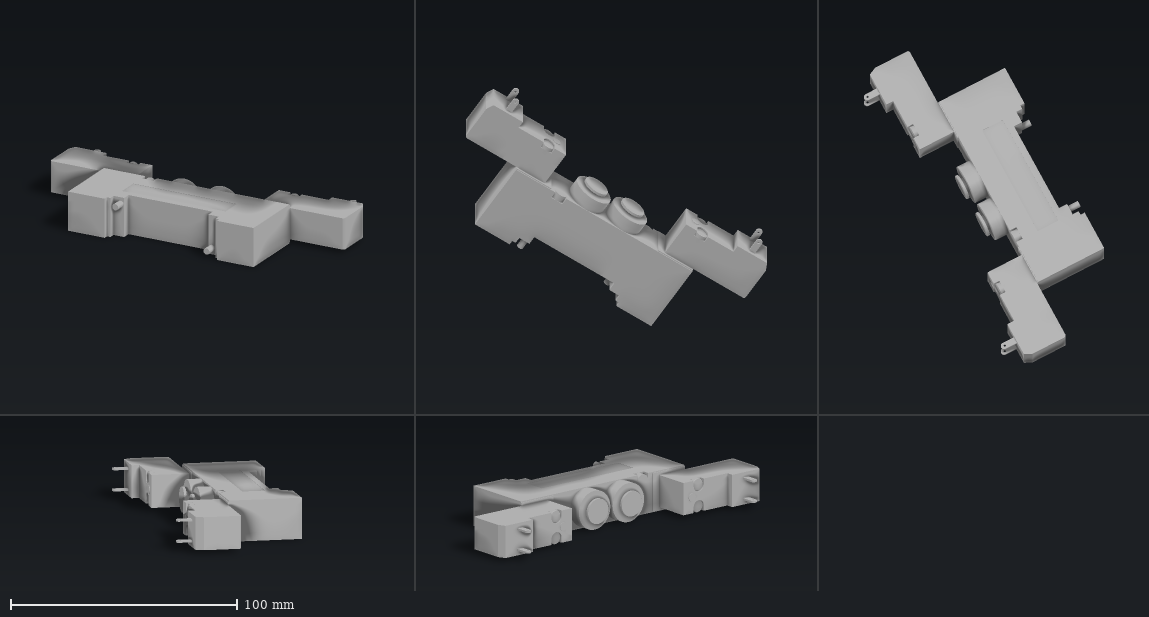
import cadquery as cq


BODY_LENGTH = 93.4
BODY_DEPTH = 33.0
BODY_WIDTH = 18.5
HALF_LENGTH = BODY_LENGTH / 2
HALF_WIDTH = BODY_WIDTH / 2

FOOT_STEPS = [(28.3, 2.1), (26.5, 5.0), (21.2, 9.0)]

LABEL_LENGTH = 52.2
LABEL_HEIGHT = 10.4
LABEL_CENTRE_Y = 17.2
LABEL_DEPTH = 0.1

SCREW_X = 23.0
SCREW_Z = 6.2
SCREW_SHANK_DIAMETER = 3.0
SCREW_HEAD_DIAMETER = 6.0
SCREW_HEAD_HEIGHT = 3.3

PLATE_INNER_X = FOOT_STEPS[0][0]
PLATE_LENGTH = HALF_LENGTH - PLATE_INNER_X
PLATE_WIDTH = 17.5
PLATE_HEIGHT = 0.5

PILOT_WIDTH = 14.8
PILOT_BASE_Y = BODY_DEPTH + PLATE_HEIGHT
PILOT_SHOULDER_Y = 50.5
PILOT_TOP_Y = 54.0
PILOT_INNER_X = 31.9
PILOT_STEP_X = 56.9
PILOT_BEVEL_X = 72.5
PILOT_END_X = 74.1
PILOT_CORNER_RADIUS = 1.0

BLADE_X = 64.5
BLADE_Z = 4.7
BLADE_WIDTH = 3.0
BLADE_THICKNESS = 0.9
BLADE_TIP_Y = 61.0
BLADE_HOLE_Y = 59.3
BLADE_HOLE_DIAMETER = 1.0

PILOT_SCREW_X = 40.6
PILOT_SCREW_Z = 4.9
PILOT_HEAD_DIAMETER = 5.8
PILOT_HEAD_HEIGHT = 2.1
PILOT_HEAD_CHAMFER = 0.22
PILOT_POCKET_DEPTH = 2.8

BUTTON_X = 36.8
BUTTON_DIAMETER = 3.9
BUTTON_HEIGHT = 0.3

FITTING_X = 9.6
FITTING_SECTIONS = [(18.0, 3.0), (18.0, 3.3), (7.0, 1.3), (11.5, 1.2)]


def y_cylinder(x, z, diameter, start_y, end_y):
    """Cylinder along Y between two Y positions."""
    plane = cq.Plane(origin=(x, start_y, z), xDir=(1, 0, 0), normal=(0, 1, 0))
    return cq.Workplane(plane).circle(diameter / 2).extrude(end_y - start_y)


def side_pocket(x, z, diameter, side, outer_z, start_y, end_y):
    """U-shaped screw pocket that runs out through the +Z (side = 1) or -Z (side = -1) face."""
    round_end = y_cylinder(x, side * z, diameter, start_y, end_y)
    opening = cq.Workplane("XY").box(diameter, end_y - start_y, outer_z - z).translate(
        (x, (start_y + end_y) / 2, side * (z + outer_z) / 2)
    )
    return round_end.union(opening)


def body_block():
    """Rectangular block with the stepped recess in its mounting side."""
    block = cq.Workplane("XY").box(BODY_LENGTH, BODY_DEPTH, BODY_WIDTH)
    block = block.translate((0, BODY_DEPTH / 2, 0))
    for half_length, depth in FOOT_STEPS:
        step = cq.Workplane("XY").box(2 * half_length, depth, BODY_WIDTH)
        block = block.cut(step.translate((0, depth / 2, 0)))
    return block


def mounting_screw_features(body, side):
    """Pocket, head and shank of one mounting screw; side = 1 is the screw at -X, +Z."""
    x = -side * SCREW_X
    z = side * SCREW_Z
    seat_y = BODY_DEPTH - SCREW_HEAD_HEIGHT
    pocket = side_pocket(x, SCREW_Z, SCREW_HEAD_DIAMETER, side, HALF_WIDTH, seat_y, BODY_DEPTH)
    head = y_cylinder(x, z, SCREW_HEAD_DIAMETER, seat_y, BODY_DEPTH)
    shank = y_cylinder(x, z, SCREW_SHANK_DIAMETER, 0, seat_y)
    return body.cut(pocket).union(head).union(shank)


def make_valve_body():
    body = body_block()
    label = cq.Workplane("XY").box(LABEL_LENGTH, LABEL_HEIGHT, LABEL_DEPTH)
    body = body.cut(label.translate((0, LABEL_CENTRE_Y, HALF_WIDTH - LABEL_DEPTH / 2)))
    for side in (-1, 1):
        body = mounting_screw_features(body, side)
    return body


def pilot_housing():
    """Stepped housing with a bevelled top corner and a rounded bottom corner."""
    outline = [
        (PILOT_INNER_X, PILOT_BASE_Y),
        (PILOT_END_X, PILOT_BASE_Y),
        (PILOT_END_X, PILOT_SHOULDER_Y),
        (PILOT_BEVEL_X, PILOT_TOP_Y),
        (PILOT_STEP_X, PILOT_TOP_Y),
        (PILOT_STEP_X, PILOT_SHOULDER_Y),
        (PILOT_INNER_X, PILOT_SHOULDER_Y),
    ]
    housing = cq.Workplane("XY").polyline(outline).close().extrude(PILOT_WIDTH / 2, both=True)
    return housing.edges("|Z and >X").edges("<Y").fillet(PILOT_CORNER_RADIUS)


def interface_plate():
    """Thin plate between the housing and the valve body, ending flush with the body."""
    plate = cq.Workplane("XY").box(PLATE_LENGTH, PLATE_HEIGHT, PLATE_WIDTH)
    return plate.translate((PLATE_INNER_X + PLATE_LENGTH / 2, BODY_DEPTH + PLATE_HEIGHT / 2, 0))


def contact_blade(z):
    """Flat blade with a full-round tip and a small hole near the tip."""
    radius = BLADE_WIDTH / 2
    tip_centre_y = BLADE_TIP_Y - radius
    return (
        cq.Workplane("XY", origin=(0, 0, z))
        .moveTo(BLADE_X - radius, PILOT_TOP_Y)
        .lineTo(BLADE_X + radius, PILOT_TOP_Y)
        .lineTo(BLADE_X + radius, tip_centre_y)
        .threePointArc((BLADE_X, BLADE_TIP_Y), (BLADE_X - radius, tip_centre_y))
        .close()
        .moveTo(BLADE_X, BLADE_HOLE_Y)
        .circle(BLADE_HOLE_DIAMETER / 2)
        .extrude(BLADE_THICKNESS / 2, both=True)
    )


def make_pilot():
    """Pilot valve on the +X end of the body."""
    pilot = pilot_housing().union(interface_plate())
    seat_y = PILOT_SHOULDER_Y - PILOT_POCKET_DEPTH
    for side in (-1, 1):
        pocket = side_pocket(
            PILOT_SCREW_X, PILOT_SCREW_Z, PILOT_HEAD_DIAMETER, side,
            PILOT_WIDTH / 2, seat_y, PILOT_SHOULDER_Y,
        )
        head = y_cylinder(
            PILOT_SCREW_X, side * PILOT_SCREW_Z, PILOT_HEAD_DIAMETER,
            seat_y, seat_y + PILOT_HEAD_HEIGHT,
        )
        head = head.faces(">Y").chamfer(PILOT_HEAD_CHAMFER)
        pilot = pilot.cut(pocket).union(head)
        pilot = pilot.union(contact_blade(side * BLADE_Z))
    button = y_cylinder(
        BUTTON_X, 0, BUTTON_DIAMETER, PILOT_SHOULDER_Y, PILOT_SHOULDER_Y + BUTTON_HEIGHT
    )
    return pilot.union(button)


def make_fitting(x):
    """Port fitting: seal ring, collar, neck and release button, stacked along Y."""
    fitting = cq.Workplane("XY")
    start_y = BODY_DEPTH
    for diameter, height in FITTING_SECTIONS:
        section = y_cylinder(x, 0, diameter, start_y, start_y + height)
        fitting = fitting.union(section, clean=False) if fitting.vals() else section
        start_y += height
    return fitting


valve_body = make_valve_body()
right_pilot = make_pilot()
left_pilot = right_pilot.mirror("YZ")
fittings = [make_fitting(side * FITTING_X) for side in (-1, 1)]

result = cq.Compound.makeCompound([
    valve_body.val(),
    left_pilot.val(),
    right_pilot.val(),
    *[fitting.val() for fitting in fittings],
])